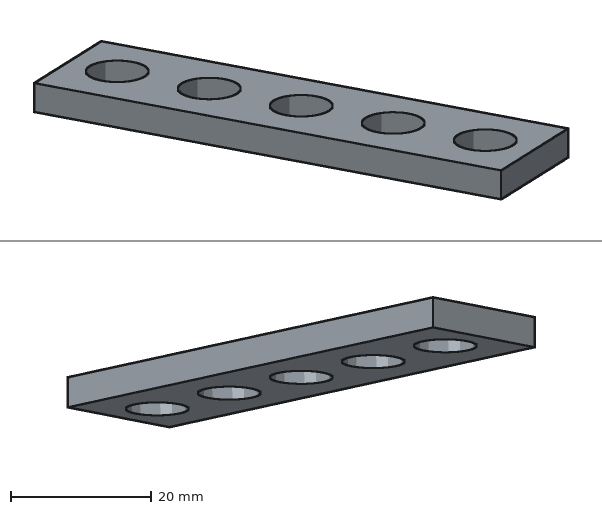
import cadquery as cq

length = 76.0
width = 20.0
thickness = 4.4

hole_count = 5
hole_diameter = 9.0
hole_pitch = 15.0

bar = cq.Workplane("XY").box(length, width, thickness)

result = (
    bar.faces(">Z")
    .workplane()
    .rarray(hole_pitch, width, hole_count, 1)
    .hole(hole_diameter)
)